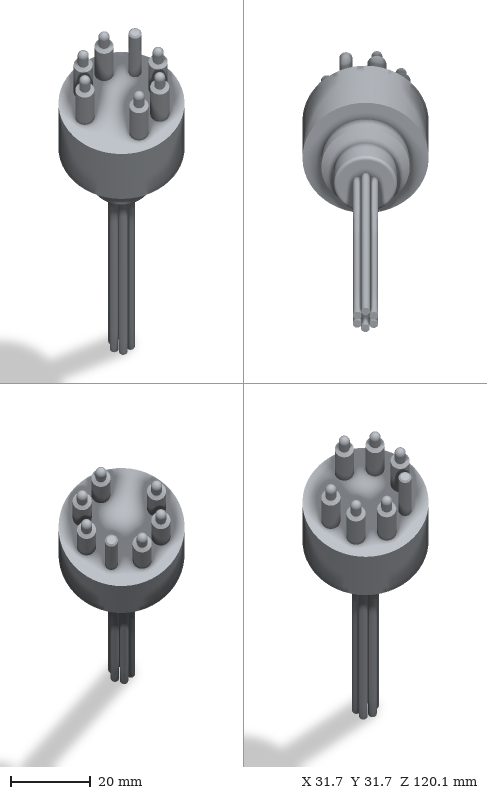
import cadquery as cq
import math

total_height = 120.1
wire_length = 69.9
neck_height = 7.5
body_height = 19.2
collar_height = 4.7
sleeve_height = 11.7
shoulder_height = 0.7

embed_depth = 1.2

body_diameter = 31.7
collar_diameter = 22.2
neck_diameter = 15.9
neck_round_radius = 0.8
taper_angle = 60.0

pin_circle_radius = 10.2
pin_angles = (-45, 0, 45, 135, 180, 225)
sleeve_diameter = 4.8
tip_diameter = 2.8
tip_round_height = 1.2
peg_angle = 90
peg_diameter = 3.2
peg_chamfer = 0.5

wire_count = 6
wire_diameter = 2.2
wire_circle_radius = 2.4

taper_height = (collar_diameter - neck_diameter) / 2 / math.tan(math.radians(taper_angle))
taper_bottom = wire_length + neck_height
collar_bottom = taper_bottom + taper_height
body_bottom = collar_bottom + collar_height
body_top = body_bottom + body_height
pin_bottom = body_top - embed_depth


def make_body():
    """Stepped body: rounded neck, cone, collar and main cylinder turned about Z."""
    neck_radius = neck_diameter / 2
    collar_radius = collar_diameter / 2
    body_radius = body_diameter / 2
    return (
        cq.Workplane("XZ")
        .moveTo(0, wire_length)
        .lineTo(neck_radius - neck_round_radius, wire_length)
        .tangentArcPoint((neck_round_radius, neck_round_radius))
        .lineTo(neck_radius, taper_bottom)
        .lineTo(collar_radius, collar_bottom)
        .lineTo(collar_radius, body_bottom)
        .lineTo(body_radius, body_bottom)
        .lineTo(body_radius, body_top)
        .lineTo(0, body_top)
        .close()
        .revolve(360, (0, 0), (0, 1))
    )


def make_pin():
    """Contact on the Z axis: thick sleeve, conical shoulder and round-nosed tip."""
    sleeve_top = body_top + sleeve_height
    sleeve_radius = sleeve_diameter / 2
    tip_radius = tip_diameter / 2
    nose_start = total_height - tip_round_height
    nose_radius = (tip_radius**2 + tip_round_height**2) / (2 * tip_round_height)
    half_angle = math.asin(tip_radius / nose_radius) / 2
    nose_middle = (
        nose_radius * math.sin(half_angle),
        total_height - nose_radius * (1 - math.cos(half_angle)),
    )
    return (
        cq.Workplane("XZ")
        .moveTo(0, pin_bottom)
        .lineTo(sleeve_radius, pin_bottom)
        .lineTo(sleeve_radius, sleeve_top)
        .lineTo(tip_radius, sleeve_top + shoulder_height)
        .lineTo(tip_radius, nose_start)
        .threePointArc(nose_middle, (0, total_height))
        .close()
        .revolve(360, (0, 0), (0, 1))
    )


def make_peg():
    """Plain chamfered peg on the Z axis."""
    return (
        cq.Workplane("XY")
        .workplane(offset=pin_bottom)
        .circle(peg_diameter / 2)
        .extrude(total_height - pin_bottom)
        .faces(">Z")
        .chamfer(peg_chamfer)
    )


def make_wires():
    """Ring of wires hanging from the neck, two of them on the X axis."""
    return (
        cq.Workplane("XY")
        .polarArray(wire_circle_radius, 0, 360, wire_count)
        .circle(wire_diameter / 2)
        .extrude(wire_length + embed_depth)
    )


def place_on_pin_circle(shape, angle):
    """Move a shape from the axis out to the pin circle at the given angle."""
    return shape.translate((pin_circle_radius, 0, 0)).rotate((0, 0, 0), (0, 0, 1), angle)


result = make_body().union(make_wires())
pin = make_pin()
for pin_angle in pin_angles:
    result = result.union(place_on_pin_circle(pin, pin_angle))
result = result.union(place_on_pin_circle(make_peg(), peg_angle))